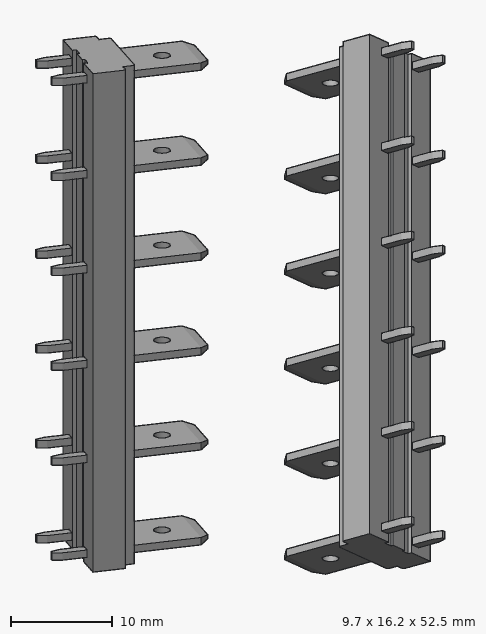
import cadquery as cq

body_length = 52.5
body_width = 9.7
body_depth = 4.6
shoulder_width = 7.8
shoulder_depth = 1.2
edge_radius = 0.2

recess_width = 3.7
recess_depth = 0.4
rib_width = 1.8
rib_depth = 0.25

terminal_count = 6
terminal_end_distance = 1.25
terminal_pitch = (body_length - 2 * terminal_end_distance) / (terminal_count - 1)
terminal_thickness = 0.8

blade_width = 6.25
blade_length = 8.1
blade_tip_width = 4.3
blade_tip_length = 1.0
blade_tip_thickness = 0.4
blade_hole_diameter = 1.65
blade_hole_from_tip = 4.05

pin_spacing = 4.95
pin_width = 1.0
pin_length = 3.5
pin_tip_width = 0.35
pin_tip_length = 1.0
pin_embedding = 1.05

blade_tip_y = body_depth + blade_length
pin_tip_y = -pin_length


def box(width, y_start, y_end, height):
    """Block centred on X, standing on Z = 0."""
    return (
        cq.Workplane("XY")
        .center(0, (y_start + y_end) / 2)
        .rect(width, y_end - y_start)
        .extrude(height)
    )


def make_body():
    ledge_y = body_depth - shoulder_depth
    base = box(body_width, 0, ledge_y, body_length).edges("|Z and >Y").fillet(edge_radius)
    shoulder = box(shoulder_width, 0, body_depth, body_length).edges("|Z and >Y").fillet(edge_radius)
    recess = box(recess_width, 0, recess_depth, body_length)
    rib = box(rib_width, recess_depth - rib_depth, recess_depth, body_length)
    return base.union(shoulder).cut(recess).union(rib)


def make_blade():
    """Blade with clipped corners, a bevelled tip and a locking hole, centred on Z = 0."""
    tip_base_y = blade_tip_y - blade_tip_length
    plan = (
        cq.Workplane("XY", origin=(0, 0, -terminal_thickness / 2))
        .moveTo(-blade_width / 2, body_depth)
        .lineTo(-blade_width / 2, tip_base_y)
        .lineTo(-blade_tip_width / 2, blade_tip_y)
        .lineTo(blade_tip_width / 2, blade_tip_y)
        .lineTo(blade_width / 2, tip_base_y)
        .lineTo(blade_width / 2, body_depth)
        .close()
        .extrude(terminal_thickness)
    )
    side = (
        cq.Workplane("YZ")
        .moveTo(body_depth, -terminal_thickness / 2)
        .lineTo(tip_base_y, -terminal_thickness / 2)
        .lineTo(blade_tip_y, -blade_tip_thickness / 2)
        .lineTo(blade_tip_y, blade_tip_thickness / 2)
        .lineTo(tip_base_y, terminal_thickness / 2)
        .lineTo(body_depth, terminal_thickness / 2)
        .close()
        .extrude(blade_width / 2, both=True)
    )
    hole = (
        cq.Workplane("XY")
        .center(0, blade_tip_y - blade_hole_from_tip)
        .circle(blade_hole_diameter / 2)
        .extrude(terminal_thickness, both=True)
    )
    return plan.intersect(side).cut(hole)


def make_pin(center_x):
    """Flat pin whose end tapers to a blunt tip, centred on Z = 0."""
    half_width = pin_width / 2
    half_tip = pin_tip_width / 2
    taper_y = pin_tip_y + pin_tip_length
    return (
        cq.Workplane("XY", origin=(center_x, 0, -terminal_thickness / 2))
        .moveTo(-half_width, pin_embedding)
        .lineTo(-half_width, taper_y)
        .lineTo(-half_tip, pin_tip_y)
        .lineTo(half_tip, pin_tip_y)
        .lineTo(half_width, taper_y)
        .lineTo(half_width, pin_embedding)
        .close()
        .extrude(terminal_thickness)
    )


result = make_body()
for index in range(terminal_count):
    terminal_z = terminal_end_distance + index * terminal_pitch
    result = result.union(make_blade().translate((0, 0, terminal_z)))
    for side in (-1, 1):
        pin = make_pin(side * pin_spacing / 2)
        result = result.union(pin.translate((0, 0, terminal_z)))